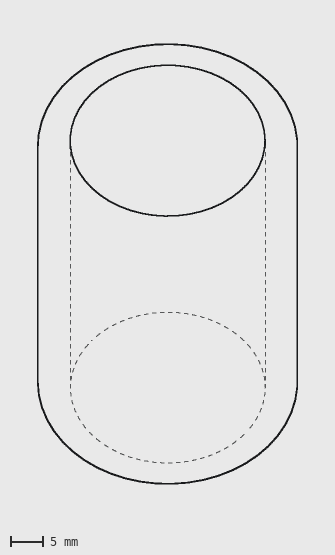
import cadquery as cq

length = 60.0
outer_diameter = 40.0
bore_diameter = 30.0
edge_radius = 1.5

body = cq.Workplane("XY").circle(outer_diameter / 2).extrude(length)
body = body.edges("%CIRCLE").fillet(edge_radius)

result = body.faces(">Z").workplane().hole(bore_diameter)